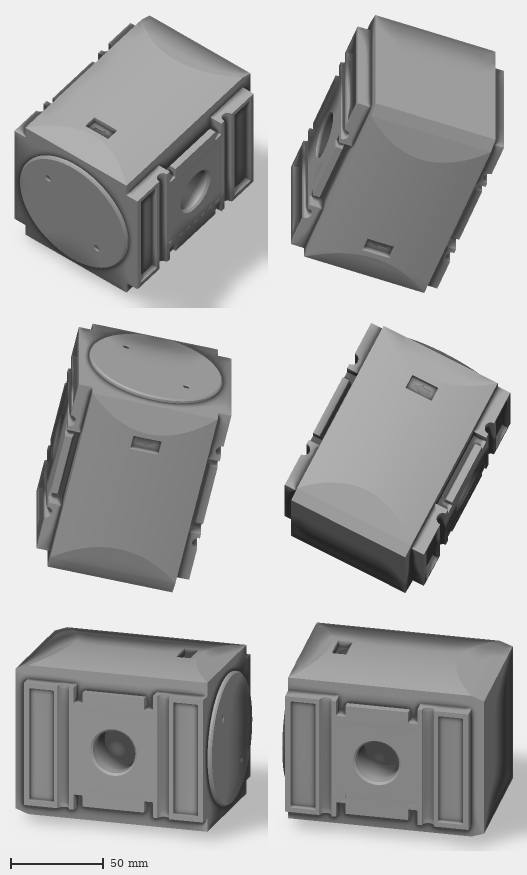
import cadquery as cq
import math

core_width = 69.8
shoulder_z = 42.5
overall_height = 93.2
crown_z = overall_height / 2
body_length = 102.1
rear_length = 7.1
crown_bevel_angle = 15.0
rear_taper_angle = 20.0

half_width = 42.5
half_core = core_width / 2
block_half_height = 34.9
mid_y = body_length / 2

groove_diameter = 6.5
groove_depth = 3.5
groove_offset = 28.5

recess_half_length = 22.7
recess_floor_z = 26.1
tab_half_length = 17.5
tab_top_z = 32.5
tab_top_thickness = 3.9
tab_foot_thickness = 5.4

pocket_length = 14.1
pocket_height = 64.2
pocket_offset = 41.1
pocket_depth = 3.4
pocket_corner_radius = 0.8

port_face_size = 47.0
port_face_depth = 0.1
port_face_corner_radius = 0.5
port_step_length = 6.0
port_step_height = 1.8
port_ledge_width = 0.3
port_ledge_depth = 0.06
port_diameter = 24.1
port_mouth_diameter = 26.5
port_depth = 22.4

neck_diameter = 60.0
neck_length = 0.8
cap_diameter = 74.0
cap_thickness = 2.2
cap_edge_chamfer = 0.9
pin_hole_diameter = 3.3
pin_hole_chamfer = 0.5
pin_hole_depth = 2.2
pin_hole_offset = 16.7

window_length = 15.8
window_width = 8.1
window_y = 22.2
window_floor_z = shoulder_z
arrow_half_length = 5.0
arrow_shaft_half_width = 1.5
arrow_head_half_width = 2.8
arrow_depth = 0.6


def box_between(low, high):
    """Box given by its lowest and highest corners."""
    size = [top - bottom for bottom, top in zip(low, high)]
    return cq.Workplane("XY").box(*size, centered=False).translate(low)


def make_core():
    total_length = body_length + rear_length
    crowned_bar = (
        cq.Workplane("XZ")
        .moveTo(-half_core, -shoulder_z)
        .threePointArc((0, -crown_z), (half_core, -shoulder_z))
        .lineTo(half_core, shoulder_z)
        .threePointArc((0, crown_z), (-half_core, shoulder_z))
        .close()
        .extrude(-total_length)
    )
    bevel_length = (crown_z - shoulder_z) / math.tan(math.radians(crown_bevel_angle))
    rear_z = shoulder_z - rear_length * math.tan(math.radians(rear_taper_angle))
    upper_edge = [
        (0, shoulder_z),
        (bevel_length, crown_z),
        (body_length - bevel_length, crown_z),
        (body_length, shoulder_z),
        (total_length, rear_z),
    ]
    lower_edge = [(y, -z) for y, z in reversed(upper_edge)]
    side_profile = (
        cq.Workplane("YZ").polyline(upper_edge + lower_edge).close().extrude(half_core, both=True)
    )
    return crowned_bar.intersect(side_profile)


def make_upper_recess():
    """Cut at the top of the -X block that leaves a tab with a sloped back."""
    recess = box_between(
        (-half_width, mid_y - recess_half_length, recess_floor_z),
        (-half_core, mid_y + recess_half_length, block_half_height),
    )
    tab = (
        cq.Workplane("XZ", origin=(0, mid_y, 0))
        .moveTo(-half_width, recess_floor_z)
        .lineTo(-half_width + tab_foot_thickness, recess_floor_z)
        .lineTo(-half_width + tab_top_thickness, tab_top_z)
        .lineTo(-half_width, tab_top_z)
        .close()
        .extrude(tab_half_length, both=True)
    )
    return recess.cut(tab)


def make_port_face():
    """Thin square recess around the port, stepped in at its lower front corner."""
    half_face = port_face_size / 2
    low_y = mid_y - half_face
    high_y = mid_y + half_face
    step_top_z = -half_face + port_step_height
    ledge_top_z = step_top_z + port_ledge_width

    def panel(start_y, start_z):
        return (
            box_between(
                (-half_width, start_y, start_z), (-half_width + port_face_depth, high_y, half_face)
            )
            .edges("|X")
            .fillet(port_face_corner_radius)
        )

    ledge = box_between(
        (-half_width, low_y, step_top_z),
        (-half_width + port_ledge_depth, low_y + port_step_length, ledge_top_z + port_face_corner_radius),
    )
    return panel(low_y, ledge_top_z).union(panel(low_y + port_step_length, -half_face)).union(ledge)


def make_port():
    face_x = -half_width + port_face_depth
    mouth_depth = (port_mouth_diameter - port_diameter) / 2
    return (
        cq.Workplane("XY", origin=(face_x, mid_y, 0))
        .lineTo(0, port_mouth_diameter / 2)
        .lineTo(mouth_depth, port_diameter / 2)
        .lineTo(port_depth, port_diameter / 2)
        .lineTo(port_depth, 0)
        .close()
        .revolve(360, (0, 0, 0), (1, 0, 0))
    )


def make_side_block():
    """Block on the -X flank with all its cuts except the port."""
    block = box_between(
        (-half_width, 0, -block_half_height), (-half_core, body_length, block_half_height)
    )

    groove_radius = groove_diameter / 2
    groove_axis_x = -half_width + groove_depth - groove_radius
    for side in (-1, 1):
        groove_y = mid_y + side * groove_offset
        groove = (
            cq.Workplane("XY", origin=(groove_axis_x, groove_y, 0))
            .circle(groove_radius)
            .extrude(block_half_height, both=True)
        )
        pocket = (
            cq.Workplane("YZ", origin=(-half_width, mid_y + side * pocket_offset, 0))
            .rect(pocket_length, pocket_height)
            .extrude(pocket_depth)
            .edges("|X")
            .fillet(pocket_corner_radius)
        )
        block = block.cut(groove).cut(pocket)

    recess = make_upper_recess()
    return block.cut(recess).cut(recess.mirror("XY")).cut(make_port_face())


def make_cap():
    neck = cq.Workplane("XZ").circle(neck_diameter / 2).extrude(neck_length)
    cap = (
        cq.Workplane("XZ", origin=(0, -neck_length, 0))
        .circle(cap_diameter / 2)
        .extrude(cap_thickness)
        .faces("<Y")
        .edges()
        .chamfer(cap_edge_chamfer)
    )
    return neck.union(cap)


def make_pin_holes():
    front_y = -neck_length - cap_thickness
    places = [(-pin_hole_offset, pin_hole_offset), (pin_hole_offset, -pin_hole_offset)]
    radius = pin_hole_diameter / 2
    holes = (
        cq.Workplane("XZ", origin=(0, front_y, 0))
        .pushPoints(places)
        .circle(radius)
        .extrude(-pin_hole_depth)
    )
    for x, z in places:
        countersink = cq.Solid.makeCone(
            radius + pin_hole_chamfer, radius, pin_hole_chamfer,
            pnt=cq.Vector(x, front_y, z), dir=cq.Vector(0, 1, 0),
        )
        holes = holes.union(cq.Workplane(countersink))
    return holes


def make_arrow_window():
    """Cut into the top crown, with an arrow engraved in its floor that points to +X."""
    floor = cq.Workplane("XY", origin=(0, window_y, window_floor_z))
    window = floor.rect(window_length, window_width).extrude(crown_z - window_floor_z)
    arrow = (
        floor.moveTo(-arrow_half_length, -arrow_shaft_half_width)
        .lineTo(0, -arrow_shaft_half_width)
        .lineTo(0, -arrow_head_half_width)
        .lineTo(arrow_half_length, 0)
        .lineTo(0, arrow_head_half_width)
        .lineTo(0, arrow_shaft_half_width)
        .lineTo(-arrow_half_length, arrow_shaft_half_width)
        .close()
        .extrude(-arrow_depth)
    )
    return window.union(arrow)


side_block = make_side_block()
port = make_port()
window = make_arrow_window()

result = make_core().union(side_block).union(side_block.mirror("YZ")).union(make_cap())
result = result.cut(port).cut(port.mirror("YZ"))
result = result.cut(window).cut(window.mirror("XY")).cut(make_pin_holes())